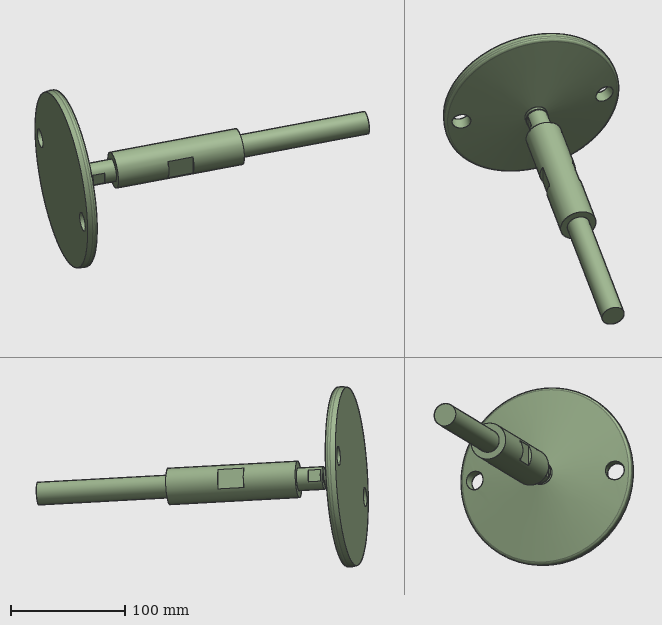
import cadquery as cq
import math

TOTAL_LENGTH = 279.0

FOOT_DIAMETER = 158.0
TAPER_HEIGHT = 4.5
SLOPE_ANGLE = 10.0
SLOPE = math.tan(math.radians(SLOPE_ANGLE))
RIM_TOP = 9.0
RIM_FILLET = 2.5

BOLT_HOLE_DIAMETER = 16.5
BOLT_HOLE_OFFSET = 62.8
BOLT_CUTTER_LENGTH = 55.8

HUB_DIAMETER = 18.5
HUB_EDGE_HEIGHT = 23.2
GROOVE_DIAMETER = 16.5

SPINDLE_DIAMETER = 20.0
SPINDLE_START = 24.8
NECK_DIAMETER = 8.5
SPINDLE_FLAT_START = 26.2
SPINDLE_FLAT_LENGTH = 11.0
SPINDLE_ACROSS_FLATS = 17.0

SLEEVE_DIAMETER = 32.0
SLEEVE_START = 47.5
SLEEVE_LENGTH = 115.2
SLEEVE_FLAT_LENGTH = 23.0
SLEEVE_ACROSS_FLATS = 26.8

SEAT_HEIGHT = HUB_EDGE_HEIGHT + (HUB_DIAMETER - NECK_DIAMETER) / 2 * SLOPE


def cylinder(diameter, start, length):
    """Solid cylinder on the Y axis, running from start toward +Y."""
    plane = cq.Plane(origin=(0, start, 0), xDir=(1, 0, 0), normal=(0, 1, 0))
    return cq.Workplane(plane).circle(diameter / 2).extrude(length)


def cut_wrench_flats(body, diameter, across_flats, start, length):
    """Cut a pair of flats on the -X and +X sides of a round body."""
    depth = (diameter - across_flats) / 2
    middle = start + length / 2
    for side in (-1, 1):
        cutter = cq.Workplane("XY").box(depth, length, diameter)
        body = body.cut(cutter.translate((side * (across_flats + depth) / 2, middle, 0)))
    return body


def cut_bolt_holes(body):
    """Cut two through holes that lean outward toward the top of the plate."""
    for side in (-1, 1):
        hole = cylinder(BOLT_HOLE_DIAMETER, -BOLT_CUTTER_LENGTH / 2, BOLT_CUTTER_LENGTH)
        hole = hole.rotate((0, 0, 0), (0, 0, 1), -side * SLOPE_ANGLE)
        body = body.cut(hole.translate((side * BOLT_HOLE_OFFSET, 0, 0)))
    return body


def make_foot():
    """Conical plate with a tapered rim and a grooved hub."""
    rim_radius = FOOT_DIAMETER / 2
    sole_radius = rim_radius - TAPER_HEIGHT * SLOPE
    spindle_radius = SPINDLE_DIAMETER / 2
    cone_top = RIM_TOP + (rim_radius - spindle_radius) * SLOPE
    groove_height = (cone_top + HUB_EDGE_HEIGHT) / 2
    foot = (
        cq.Workplane("XY")
        .lineTo(sole_radius, 0)
        .lineTo(rim_radius, TAPER_HEIGHT)
        .lineTo(rim_radius, RIM_TOP)
        .lineTo(spindle_radius, cone_top)
        .threePointArc((GROOVE_DIAMETER / 2, groove_height), (HUB_DIAMETER / 2, HUB_EDGE_HEIGHT))
        .lineTo(NECK_DIAMETER / 2, SEAT_HEIGHT)
        .lineTo(0, SEAT_HEIGHT)
        .close()
        .revolve(360, (0, 0, 0), (0, 1, 0))
    )
    margin = 0.3
    rim_edge = cq.selectors.BoxSelector(
        (-rim_radius, RIM_TOP - margin, -rim_radius),
        (rim_radius, RIM_TOP + margin, rim_radius),
    )
    foot = foot.edges("%CIRCLE").edges(rim_edge).fillet(RIM_FILLET)
    return cut_bolt_holes(foot)


def make_spindle():
    """Long round rod with a short neck below it and a pair of wrench flats."""
    neck = cylinder(NECK_DIAMETER, SEAT_HEIGHT, SPINDLE_START - SEAT_HEIGHT)
    rod = cylinder(SPINDLE_DIAMETER, SPINDLE_START, TOTAL_LENGTH - SPINDLE_START)
    return cut_wrench_flats(
        rod.union(neck),
        SPINDLE_DIAMETER,
        SPINDLE_ACROSS_FLATS,
        SPINDLE_FLAT_START,
        SPINDLE_FLAT_LENGTH,
    )


def make_sleeve():
    """Tube that fits closely round the spindle, with wrench flats at mid length."""
    bore = cylinder(SPINDLE_DIAMETER, SLEEVE_START, SLEEVE_LENGTH)
    sleeve = cylinder(SLEEVE_DIAMETER, SLEEVE_START, SLEEVE_LENGTH).cut(bore)
    flat_start = SLEEVE_START + (SLEEVE_LENGTH - SLEEVE_FLAT_LENGTH) / 2
    return cut_wrench_flats(
        sleeve, SLEEVE_DIAMETER, SLEEVE_ACROSS_FLATS, flat_start, SLEEVE_FLAT_LENGTH
    )


foot = make_foot()
spindle = make_spindle()
sleeve = make_sleeve()

bodies = [body.solids().val() for body in (foot, spindle, sleeve)]
result = cq.Compound.makeCompound(bodies)